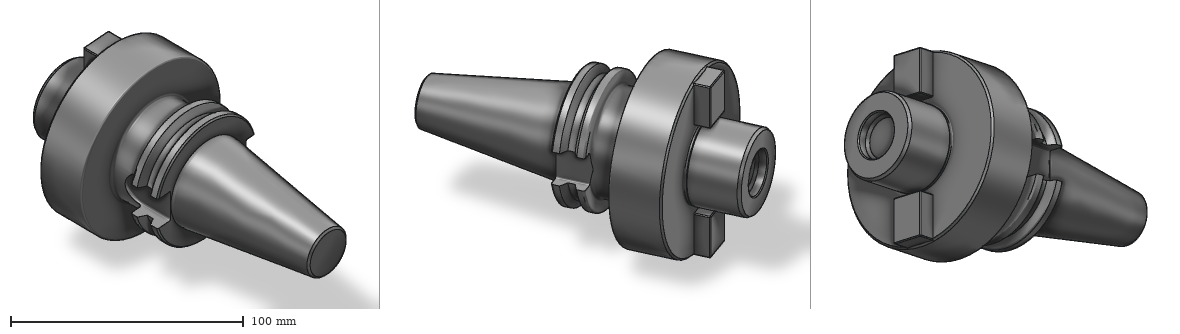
import cadquery as cq
import math


turning_axis = ((0, 0, 0), (1, 0, 0))
match_tolerance = 0.002

length = 155.4
drive_face_x = 26.7
drive_back_x = 51.6
grip_face_x = 68.0
grip_back_x = 83.9
taper_start_x = 85.8

spigot_radius = 40.0 / 2
relief_radius = 39.5 / 2
drive_radius = 88.0 / 2
neck_radius = 25.0
grip_radius = 63.5 / 2
taper_radius = 22.4
taper_slope = 7 / 24 / 2

spigot_chamfer_length = 1.5
spigot_chamfer_depth = 1.0
drive_edge = 1.0
grip_front_fillet = 1.0
grip_back_chamfer = 0.8
neck_fillet = 1.5
shank_chamfer = 1.0

relief_start_x = 24.9
relief_ramp_length = 0.5
relief_face_radius = 21.5
relief_face_depth = 0.2
relief_fillet = 0.5

groove_center_x = 75.8
groove_root_radius = 28.1
groove_root_width = 3.4
groove_wall_angle = 30
groove_edge_chamfer = 0.5

bore_radius = 21.0 / 2
bore_mouth_radius = 11.0
bore_cone_start = 4.2
bore_floor_radius = 9.2
bore_cone_angle = 45

key_width = 16.0
key_front_x = 19.0
key_inner_z = 22.0
key_outer_z = 42.9
key_embed = 3.1
key_chamfer = 0.5

slot_width = 16.2
slot_center_x = 67.6
slot_floor_fillet = 1.0
front_slot_floor = 22.5
rear_slot_floor = neck_radius


def taper_radius_at(x):
    return taper_radius - taper_slope * (x - taper_start_x)


def round_corner(body, x, radius, fillet):
    """Fillet the one circular edge that has this station and radius."""
    corner = body.edges("%CIRCLE").filter(
        lambda edge: math.isclose(edge.Center().x, x, abs_tol=match_tolerance)
        and math.isclose(edge.radius(), radius, abs_tol=match_tolerance)
    )
    return corner.fillet(fillet)


def turned_body():
    relief_floor_x = drive_face_x + relief_face_depth
    outline = [
        (0, 0),
        (0, spigot_radius - spigot_chamfer_depth),
        (spigot_chamfer_length, spigot_radius),
        (relief_start_x, spigot_radius),
        (relief_start_x + relief_ramp_length, relief_radius),
        (relief_floor_x, relief_radius),
        (drive_face_x, relief_face_radius),
        (drive_face_x, drive_radius - drive_edge),
        (drive_face_x + drive_edge, drive_radius),
        (drive_back_x, drive_radius),
        (drive_back_x, neck_radius),
        (grip_face_x, neck_radius),
        (grip_face_x, grip_radius),
        (grip_back_x - grip_back_chamfer, grip_radius),
        (grip_back_x, grip_radius - grip_back_chamfer),
        (grip_back_x, taper_radius),
        (taper_start_x, taper_radius),
        (length - shank_chamfer, taper_radius_at(length - shank_chamfer)),
        (length, taper_radius_at(length) - shank_chamfer),
        (length, 0),
    ]
    body = cq.Workplane("XY").polyline(outline).close().revolve(360, *turning_axis)
    body = round_corner(body, relief_floor_x, relief_radius, relief_fillet)
    body = round_corner(body, drive_back_x, drive_radius, drive_edge)
    body = round_corner(body, drive_back_x, neck_radius, neck_fillet)
    body = round_corner(body, grip_face_x, neck_radius, neck_fillet)
    return round_corner(body, grip_face_x, grip_radius, grip_front_fillet)


def grip_groove():
    root_half = groove_root_width / 2
    wall_slope = math.tan(math.radians(groove_wall_angle))
    chamfer_radius = grip_radius - groove_edge_chamfer
    wall_half = root_half + (chamfer_radius - groove_root_radius) * wall_slope
    mouth_half = wall_half + groove_edge_chamfer
    mouth_radius = grip_radius + groove_edge_chamfer
    half_profile = [
        (root_half, groove_root_radius),
        (wall_half, chamfer_radius),
        (mouth_half, grip_radius),
        (mouth_half, mouth_radius),
    ]
    right = [(groove_center_x + x, r) for x, r in half_profile]
    left = [(groove_center_x - x, r) for x, r in reversed(half_profile)]
    return cq.Workplane("XY").polyline(left + right).close().revolve(360, *turning_axis)


def bore():
    cone_length = (bore_radius - bore_floor_radius) / math.tan(math.radians(bore_cone_angle))
    floor_x = bore_cone_start + cone_length
    outline = [
        (0, 0),
        (0, bore_mouth_radius),
        (bore_mouth_radius - bore_radius, bore_radius),
        (bore_cone_start, bore_radius),
        (floor_x, bore_floor_radius),
        (floor_x, 0),
    ]
    return cq.Workplane("XY").polyline(outline).close().revolve(360, *turning_axis)


def drive_key(side):
    """Key on the drive face; side is +1 for the upper one, -1 for the lower one."""
    key_length = drive_face_x + key_embed - key_front_x
    key_height = key_outer_z - key_inner_z
    middle_z = side * (key_inner_z + key_outer_z) / 2
    return (
        cq.Workplane("XY")
        .box(key_length, key_width, key_height)
        .edges("<X or |X")
        .chamfer(key_chamfer)
        .translate((key_front_x + key_length / 2, 0, middle_z))
    )


def driving_slot(side, floor):
    """Round-ended slot open toward the shank; side is the sign of Y it faces."""
    radius = slot_width / 2
    open_x = grip_back_x + slot_width
    plane = cq.Plane(origin=(0, side * floor, 0), xDir=(1, 0, 0), normal=(0, side, 0))
    return (
        cq.Workplane(plane)
        .moveTo(open_x, radius)
        .lineTo(slot_center_x, radius)
        .threePointArc((slot_center_x - radius, 0), (slot_center_x, -radius))
        .lineTo(open_x, -radius)
        .close()
        .extrude(grip_radius)
        .faces("<Y" if side > 0 else ">Y")
        .edges("not >X")
        .fillet(slot_floor_fillet)
    )


result = turned_body().cut(grip_groove()).cut(bore())
for key_side in (1, -1):
    result = result.union(drive_key(key_side))
result = result.cut(driving_slot(-1, front_slot_floor))
result = result.cut(driving_slot(1, rear_slot_floor))